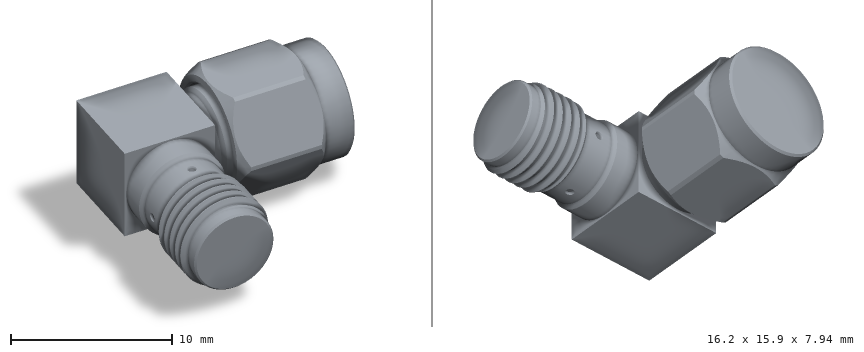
import cadquery as cq
import math


BODY_SIDE = 6.35

JACK_END = 11.68
JACK_COLLAR_RADIUS = 6.09 / 2
JACK_COLLAR_END = 5.07
BARREL_RADIUS = 5.58 / 2
BARREL_CHAMFER = 0.12

THREAD_RADIUS = 6.35 / 2
THREAD_PITCH = 25.4 / 36
THREAD_START = 7.09
THREAD_END = 10.91
THREAD_END_CHAMFER = 0.4
THREAD_CREST_WIDTH = 0.05
THREAD_FLANK_ANGLE = 30.0
THREAD_EMBED = 0.04
THREAD_OVERRUN_TURNS = 4
CREST_POSITION_AT_TOP = 7.48

DIMPLE_COUNT = 4
DIMPLE_POSITION = 6.07
DIMPLE_MOUTH_RADIUS = 0.30
DIMPLE_FLOOR_RADIUS = 0.19
DIMPLE_DEPTH = 0.15

NECK_RADIUS = 5.84 / 2
NECK_COLLAR_RADIUS = 6.35 / 2
NECK_COLLAR_START = 4.03

NUT_ACROSS_FLATS = 7.94
NUT_CORNER_RADIUS = 4.5
NUT_START = 4.35
NUT_HEX_END = 10.64
NUT_END = 12.70
NUT_SLEEVE_RADIUS = 7.76 / 2
NUT_SLEEVE_CHAMFER = 0.14
NUT_BEVEL_LENGTH = 0.66
NUT_BORE_RADIUS = 6.6 / 2
NUT_BORE_DEPTH = 1.0
NUT_BORE_CHAMFER = 0.13

HEX_SIDES = 6
FULL_TURN = 360.0


def revolve_about_x(points):
    """Revolve (x, radius) points about the X axis."""
    return cq.Workplane("XY").polyline(points).close().revolve(FULL_TURN, (0, 0, 0), (1, 0, 0))


def revolve_about_y(points):
    """Revolve (radius, y) points about the Y axis."""
    return cq.Workplane("XY").polyline(points).close().revolve(FULL_TURN, (0, 0, 0), (0, 1, 0))


def make_body():
    return cq.Workplane("XY").box(BODY_SIDE, BODY_SIDE, BODY_SIDE)


def make_jack():
    collar_step = JACK_COLLAR_RADIUS - BARREL_RADIUS
    return revolve_about_x([
        (0, 0),
        (0, JACK_COLLAR_RADIUS),
        (JACK_COLLAR_END - collar_step, JACK_COLLAR_RADIUS),
        (JACK_COLLAR_END, BARREL_RADIUS),
        (JACK_END - BARREL_CHAMFER, BARREL_RADIUS),
        (JACK_END, BARREL_RADIUS - BARREL_CHAMFER),
        (JACK_END, 0),
    ])


def make_thread_trimmer(end_position, outward):
    """Ring that clears the ridge beyond one thread end (outward is +1 or -1 along X) and chamfers it."""
    bevel = THREAD_END_CHAMFER
    inner_radius = BARREL_RADIUS - bevel
    outer_radius = THREAD_RADIUS + bevel
    far_position = end_position + outward * THREAD_OVERRUN_TURNS * THREAD_PITCH
    return revolve_about_x([
        (far_position, inner_radius),
        (end_position, inner_radius),
        (end_position, THREAD_RADIUS - bevel),
        (end_position - outward * 2 * bevel, outer_radius),
        (far_position, outer_radius),
    ])


def make_thread():
    """Helical ridge, trimmed and chamfered at both ends so that it fades out."""
    root_radius = BARREL_RADIUS - THREAD_EMBED
    half_crest = THREAD_CREST_WIDTH / 2
    flank_slope = math.tan(math.radians(THREAD_FLANK_ANGLE))
    half_root = half_crest + (THREAD_RADIUS - root_radius) * flank_slope

    turns = math.ceil((THREAD_END - THREAD_START) / THREAD_PITCH) + 2
    helix = cq.Wire.makeHelix(THREAD_PITCH, turns * THREAD_PITCH, root_radius)
    ridge = (
        cq.Workplane("XZ")
        .polyline([
            (root_radius, -half_root),
            (THREAD_RADIUS, -half_crest),
            (THREAD_RADIUS, half_crest),
            (root_radius, half_root),
        ])
        .close()
        .sweep(cq.Workplane(obj=helix), isFrenet=True)
    )
    ridge_start = CREST_POSITION_AT_TOP - 1.5 * THREAD_PITCH
    ridge = ridge.rotate((0, 0, 0), (0, 1, 0), 90).translate((ridge_start, 0, 0))
    ridge = ridge.cut(make_thread_trimmer(THREAD_START, -1))
    return ridge.cut(make_thread_trimmer(THREAD_END, 1))


def cut_dimples(part):
    floor_height = BARREL_RADIUS - DIMPLE_DEPTH
    taper = (DIMPLE_MOUTH_RADIUS - DIMPLE_FLOOR_RADIUS) / DIMPLE_DEPTH
    cutter_height = 2 * DIMPLE_DEPTH
    cutter = cq.Workplane(obj=cq.Solid.makeCone(
        DIMPLE_FLOOR_RADIUS,
        DIMPLE_FLOOR_RADIUS + taper * cutter_height,
        cutter_height,
        cq.Vector(DIMPLE_POSITION, 0, floor_height),
    ))
    for index in range(DIMPLE_COUNT):
        part = part.cut(cutter.rotate((0, 0, 0), (1, 0, 0), index * FULL_TURN / DIMPLE_COUNT))
    return part


def make_neck():
    collar_step = NECK_COLLAR_RADIUS - NECK_RADIUS
    collar_end = NUT_START + NUT_BORE_DEPTH
    return revolve_about_y([
        (0, 0),
        (NECK_RADIUS, 0),
        (NECK_RADIUS, NECK_COLLAR_START - collar_step),
        (NECK_COLLAR_RADIUS, NECK_COLLAR_START),
        (NECK_COLLAR_RADIUS, collar_end),
        (0, collar_end),
    ])


def make_nut():
    """Hex with bevelled corners and a round sleeve, bored at the end facing the body."""
    corner_diameter = NUT_ACROSS_FLATS / math.cos(math.pi / HEX_SIDES)
    hexagon = (
        cq.Workplane("XZ", origin=(0, NUT_START, 0))
        .polygon(HEX_SIDES, corner_diameter)
        .extrude(NUT_START - NUT_HEX_END)
    )
    envelope = revolve_about_y([
        (0, NUT_START),
        (NUT_SLEEVE_RADIUS, NUT_START),
        (NUT_CORNER_RADIUS, NUT_START + NUT_BEVEL_LENGTH),
        (NUT_CORNER_RADIUS, NUT_HEX_END - NUT_BEVEL_LENGTH),
        (NUT_SLEEVE_RADIUS, NUT_HEX_END),
        (0, NUT_HEX_END),
    ])
    sleeve = revolve_about_y([
        (0, NUT_HEX_END),
        (NUT_SLEEVE_RADIUS, NUT_HEX_END),
        (NUT_SLEEVE_RADIUS, NUT_END - NUT_SLEEVE_CHAMFER),
        (NUT_SLEEVE_RADIUS - NUT_SLEEVE_CHAMFER, NUT_END),
        (0, NUT_END),
    ])
    bore = revolve_about_y([
        (0, NUT_START),
        (NUT_BORE_RADIUS + NUT_BORE_CHAMFER, NUT_START),
        (NUT_BORE_RADIUS, NUT_START + NUT_BORE_CHAMFER),
        (NUT_BORE_RADIUS, NUT_START + NUT_BORE_DEPTH),
        (0, NUT_START + NUT_BORE_DEPTH),
    ])
    return hexagon.intersect(envelope).union(sleeve).cut(bore)


jack = cut_dimples(make_jack()).union(make_thread())
plug = make_nut().union(make_neck())
result = make_body().union(jack).union(plug)